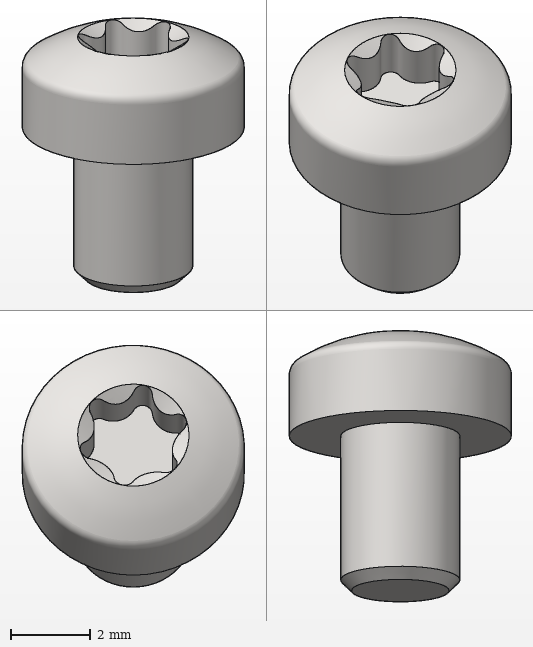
import cadquery as cq
import math

total_height = 6.4
shank_length = 4.0
head_radius = 5.6 / 2
shank_radius = 3.0 / 2
tip_chamfer = 0.275

dome_radius = 5.0
edge_radius = 0.28

lobe_count = 6
socket_mouth_radius = 1.4
lobe_tip_radius = 1.395
rib_tip_radius = 1.02
lobe_arc_radius = 0.25
socket_depth = 1.27
countersink_angle = 30.0


def polar(radius, angle):
    """Point at a radius and an angle in degrees."""
    return radius * math.cos(math.radians(angle)), radius * math.sin(math.radians(angle))


def make_head_blank():
    """Round head with a spherical top, flat at the socket mouth, and a tangent edge round."""
    dome_center_z = total_height - math.sqrt(dome_radius**2 - socket_mouth_radius**2)
    edge_center_r = head_radius - edge_radius
    edge_rise = math.sqrt((dome_radius - edge_radius) ** 2 - edge_center_r**2)
    edge_center_z = dome_center_z + edge_rise

    mouth_angle = math.degrees(math.acos(socket_mouth_radius / dome_radius))
    tangent_angle = math.degrees(math.atan2(edge_rise, edge_center_r))

    def dome_point(angle):
        r, z = polar(dome_radius, angle)
        return r, dome_center_z + z

    def edge_point(angle):
        r, z = polar(edge_radius, angle)
        return edge_center_r + r, edge_center_z + z

    return (
        cq.Workplane("XZ")
        .moveTo(0, shank_length)
        .lineTo(head_radius, shank_length)
        .lineTo(head_radius, edge_center_z)
        .threePointArc(edge_point(tangent_angle / 2), edge_point(tangent_angle))
        .threePointArc(dome_point((tangent_angle + mouth_angle) / 2), dome_point(mouth_angle))
        .lineTo(0, total_height)
        .close()
        .revolve(360, (0, 0, 0), (0, 1, 0))
    )


def make_lobed_socket():
    """Prism whose outline alternates tangent lobe arcs and rib arcs, with lobes on the Y axis."""
    half_pitch = 180 / lobe_count
    cos_half = math.cos(math.radians(half_pitch))
    lobe_center = lobe_tip_radius - lobe_arc_radius

    rib_arc_radius = (
        lobe_center**2 + rib_tip_radius**2
        - 2 * lobe_center * rib_tip_radius * cos_half - lobe_arc_radius**2
    ) / (2 * (lobe_center * cos_half + lobe_arc_radius - rib_tip_radius))
    rib_center = rib_tip_radius + rib_arc_radius

    share = lobe_arc_radius / (lobe_arc_radius + rib_arc_radius)
    rib_x, rib_y = polar(rib_center, half_pitch)
    tangent_x = lobe_center + share * (rib_x - lobe_center)
    tangent_y = share * rib_y
    tangent_radius = math.hypot(tangent_x, tangent_y)
    tangent_angle = math.degrees(math.atan2(tangent_y, tangent_x))

    first_lobe = 90.0
    outline = cq.Workplane("XY", origin=(0, 0, total_height - socket_depth))
    outline = outline.moveTo(*polar(tangent_radius, first_lobe - tangent_angle))
    for i in range(lobe_count):
        lobe = first_lobe + 2 * half_pitch * i
        next_lobe = lobe + 2 * half_pitch
        outline = outline.threePointArc(
            polar(lobe_tip_radius, lobe), polar(tangent_radius, lobe + tangent_angle)
        )
        outline = outline.threePointArc(
            polar(rib_tip_radius, lobe + half_pitch),
            polar(tangent_radius, next_lobe - tangent_angle),
        )
    return outline.close().extrude(socket_depth)


def make_countersink():
    """Shallow cone that trims the tops of the ribs."""
    cone_depth = socket_mouth_radius * math.tan(math.radians(countersink_angle))
    return (
        cq.Workplane("XZ")
        .moveTo(0, total_height - cone_depth)
        .lineTo(socket_mouth_radius, total_height)
        .lineTo(0, total_height)
        .close()
        .revolve(360, (0, 0, 0), (0, 1, 0))
    )


def make_head():
    return make_head_blank().cut(make_lobed_socket()).cut(make_countersink())


def make_shank():
    """Plain cylinder below the head, chamfered at its free end."""
    return cq.Workplane("XY").circle(shank_radius).extrude(shank_length).faces("<Z").chamfer(tip_chamfer)


head = make_head()
shank = make_shank()

result = cq.Compound.makeCompound([head.val(), shank.val()])